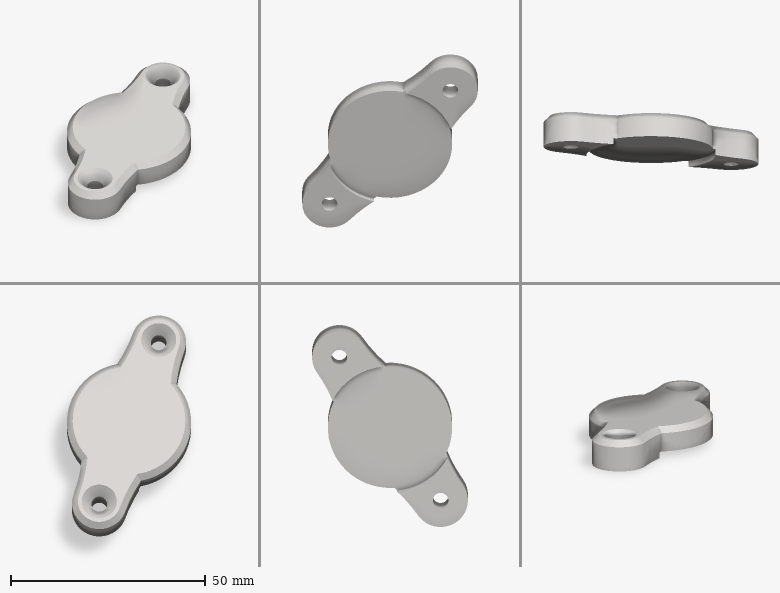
import cadquery as cq
import math

length = 60.0
height = 8.0
disc_diameter = 32.0
edge_chamfer = 1.5

ear_radius = 7.0
ear_center_y = length / 2 - ear_radius
flare_radius = 40.0

recess_diameter = 33.3
recess_depth = 1.55

hole_diameter = 4.0
countersink_diameter = 9.0
countersink_angle = 90.0


def flare_half_width(y):
    """Half width of an ear at distance y from the part center."""
    drop = ear_center_y - y
    return ear_radius + flare_radius - math.sqrt(flare_radius**2 - drop**2)


def make_ear(direction):
    """Ear reaching from inside the disc to one end; direction is +1 or -1 along Y."""
    root_y = disc_diameter / 4
    middle_y = (root_y + ear_center_y) / 2
    root = flare_half_width(root_y)
    middle = flare_half_width(middle_y)
    return (
        cq.Workplane("XY")
        .moveTo(-root, direction * root_y)
        .threePointArc((-middle, direction * middle_y), (-ear_radius, direction * ear_center_y))
        .threePointArc((0, direction * length / 2), (ear_radius, direction * ear_center_y))
        .threePointArc((middle, direction * middle_y), (root, direction * root_y))
        .close()
        .extrude(height)
    )


body = cq.Workplane("XY").circle(disc_diameter / 2).extrude(height)
for side in (1, -1):
    body = body.union(make_ear(side))
body = body.faces(">Z").edges().chamfer(edge_chamfer)

recess = cq.Workplane("XY").circle(recess_diameter / 2).extrude(recess_depth)
body = body.cut(recess)

result = (
    body.faces(">Z")
    .workplane(origin=(0, 0, height))
    .pushPoints([(0, ear_center_y), (0, -ear_center_y)])
    .cskHole(hole_diameter, countersink_diameter, countersink_angle)
)